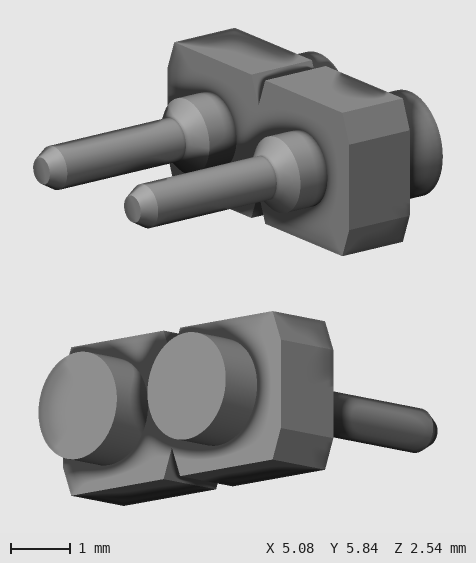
import cadquery as cq

pin_count = 2
pitch = 2.54
housing_depth = 1.275
housing_height = pitch
corner_run = 0.19
corner_drop = 0.515

head_diameter = 1.83
collar_diameter = 1.32
shank_diameter = 0.76
tip_diameter = 0.47

head_length = 0.76
neck_length = 0.205
collar_length = 0.565
shoulder_length = 0.285
shank_length = 2.495
tip_length = 0.255

head_front = housing_depth + neck_length
head_back = head_front + head_length
collar_end = -collar_length
shank_start = collar_end - shoulder_length
shank_end = shank_start - shank_length
tip_end = shank_end - tip_length

pin_positions = [(i - (pin_count - 1) / 2) * pitch for i in range(pin_count)]


def make_housing():
    """Row of corner-cut cells, joined into one strip, with a hole for each pin."""
    half_width = pitch / 2
    half_height = housing_height / 2
    top_half_width = half_width - corner_run
    side_half_height = half_height - corner_drop
    cell_outline = [
        (-half_width, -side_half_height),
        (-top_half_width, -half_height),
        (top_half_width, -half_height),
        (half_width, -side_half_height),
        (half_width, side_half_height),
        (top_half_width, half_height),
        (-top_half_width, half_height),
        (-half_width, side_half_height),
    ]
    cell = cq.Workplane("XZ").polyline(cell_outline).close().extrude(-housing_depth)
    strip = cell.translate((pin_positions[0], 0, 0))
    for x in pin_positions[1:]:
        strip = strip.union(cell.translate((x, 0, 0)))
    pin_centers = [(x, 0) for x in pin_positions]
    holes = cq.Workplane("XZ").pushPoints(pin_centers).circle(collar_diameter / 2).extrude(-housing_depth)
    return strip.cut(holes).clean().solids()


def make_pin(x):
    """Turned pin on an axis parallel to Y, centred at the given X."""
    half_profile = [
        (0, head_back),
        (head_diameter / 2, head_back),
        (head_diameter / 2, head_front),
        (collar_diameter / 2, head_front),
        (collar_diameter / 2, collar_end),
        (shank_diameter / 2, shank_start),
        (shank_diameter / 2, shank_end),
        (tip_diameter / 2, tip_end),
        (0, tip_end),
    ]
    pin = cq.Workplane("XY").polyline(half_profile).close().revolve(360, (0, 0, 0), (0, 1, 0))
    return pin.translate((x, 0, 0))


housing = make_housing()
pins = [make_pin(x) for x in pin_positions]

result = cq.Compound.makeCompound([housing.val(), *[pin.val() for pin in pins]])